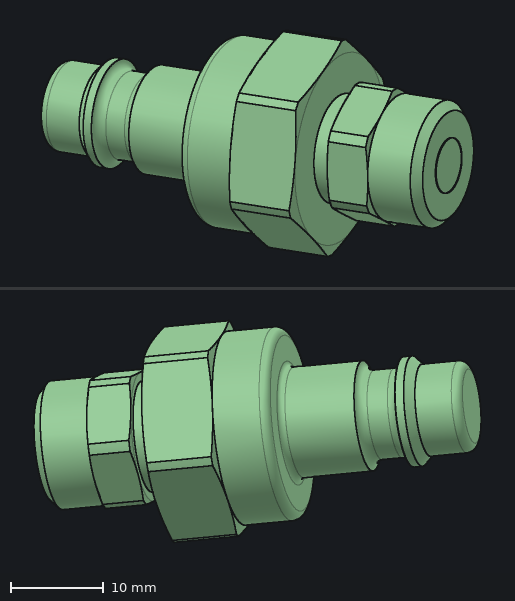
import cadquery as cq
import math

LENGTH = 47.25
COLLAR_RISE_START = 5.0
COLLAR_START = 6.0
COLLAR_END = 7.0
SHANK_START = 11.55
FLANGE_START = 19.95
BIG_HEX_START = 26.12
BIG_HEX_END = 33.95
SMALL_HEX_START = 36.1
SMALL_HEX_END = 41.0
SLEEVE_END = 47.15

TIP_DIAMETER = 10.0
GROOVE_DIAMETER = 9.75
SHANK_DIAMETER = 12.0
FLANGE_DIAMETER = 21.0
SLEEVE_DIAMETER = 14.0
END_DISC_DIAMETER = 6.05

EDGE_RADIUS = 1.0
FLANGE_ROOT_RADIUS = 0.7
SLEEVE_CHAMFER = 1.0

BIG_HEX_CORNER_DIAMETER = 23.7
BIG_HEX_TURN = 8.1
BIG_HEX_CHAMFER_LENGTH = 0.35
SMALL_HEX_CORNER_DIAMETER = 15.5
SMALL_HEX_TURN = -2.0
SMALL_HEX_CHAMFER_LENGTH = 0.2


def turned_body():
    """Revolve the round sections about the X axis, from the tip to the end disc."""
    tip = TIP_DIAMETER / 2
    groove = GROOVE_DIAMETER / 2
    shank = SHANK_DIAMETER / 2
    flange = FLANGE_DIAMETER / 2
    sleeve = SLEEVE_DIAMETER / 2
    disc = END_DISC_DIAMETER / 2
    bend = math.sqrt(0.5)
    round_depth = EDGE_RADIUS * (1 - bend)
    groove_root = shank - groove
    groove_depth = groove_root * (1 - bend)
    root_reach = FLANGE_ROOT_RADIUS * bend
    root_depth = FLANGE_ROOT_RADIUS * (1 - bend)

    profile = (
        cq.Workplane("XY")
        .lineTo(0, tip - EDGE_RADIUS)
        .threePointArc((round_depth, tip - round_depth), (EDGE_RADIUS, tip))
        .lineTo(COLLAR_RISE_START, tip)
        .lineTo(COLLAR_START, shank)
        .lineTo(COLLAR_END, shank)
        .threePointArc(
            (COLLAR_END + groove_depth, groove + groove_depth),
            (COLLAR_END + groove_root, groove),
        )
        .lineTo(SHANK_START - groove_root, groove)
        .threePointArc(
            (SHANK_START - groove_depth, groove + groove_depth),
            (SHANK_START, shank),
        )
        .lineTo(FLANGE_START - FLANGE_ROOT_RADIUS, shank)
        .threePointArc(
            (FLANGE_START - FLANGE_ROOT_RADIUS + root_reach, shank + root_depth),
            (FLANGE_START, shank + FLANGE_ROOT_RADIUS),
        )
        .lineTo(FLANGE_START, flange - EDGE_RADIUS)
        .threePointArc(
            (FLANGE_START + round_depth, flange - round_depth),
            (FLANGE_START + EDGE_RADIUS, flange),
        )
        .lineTo(BIG_HEX_START, flange)
        .lineTo(BIG_HEX_START, shank)
        .lineTo(SMALL_HEX_END, shank)
        .lineTo(SMALL_HEX_END, sleeve)
        .lineTo(SLEEVE_END - SLEEVE_CHAMFER, sleeve)
        .lineTo(SLEEVE_END, sleeve - SLEEVE_CHAMFER)
        .lineTo(SLEEVE_END, disc)
        .lineTo(LENGTH, disc)
        .lineTo(LENGTH, 0)
        .close()
    )
    return profile.revolve(360, (0, 0, 0), (1, 0, 0))


def hexagon(start, end, across_flats, corner_diameter, turn, chamfer_length):
    """Hexagonal section with turned corners and conical chamfers at both ends.

    Each chamfer falls from the corners to the circle that touches the flats.
    The turn, in degrees, moves the upper corner from +Z towards +Y.
    """
    across_corners = across_flats / math.cos(math.pi / 6)
    prism = (
        cq.Workplane("YZ", origin=(start, 0, 0))
        .polygon(6, across_corners)
        .extrude(end - start)
        .rotate((0, 0, 0), (1, 0, 0), 90 - turn)
    )
    flat = across_flats / 2
    corner = corner_diameter / 2
    envelope = (
        cq.Workplane("XY")
        .moveTo(start, 0)
        .lineTo(start, flat)
        .lineTo(start + chamfer_length, corner)
        .lineTo(end - chamfer_length, corner)
        .lineTo(end, flat)
        .lineTo(end, 0)
        .close()
        .revolve(360, (0, 0, 0), (1, 0, 0))
    )
    return prism.intersect(envelope)


big_hexagon = hexagon(
    BIG_HEX_START, BIG_HEX_END, FLANGE_DIAMETER, BIG_HEX_CORNER_DIAMETER,
    BIG_HEX_TURN, BIG_HEX_CHAMFER_LENGTH,
)
small_hexagon = hexagon(
    SMALL_HEX_START, SMALL_HEX_END, SLEEVE_DIAMETER, SMALL_HEX_CORNER_DIAMETER,
    SMALL_HEX_TURN, SMALL_HEX_CHAMFER_LENGTH,
)

result = turned_body().union(big_hexagon).union(small_hexagon)